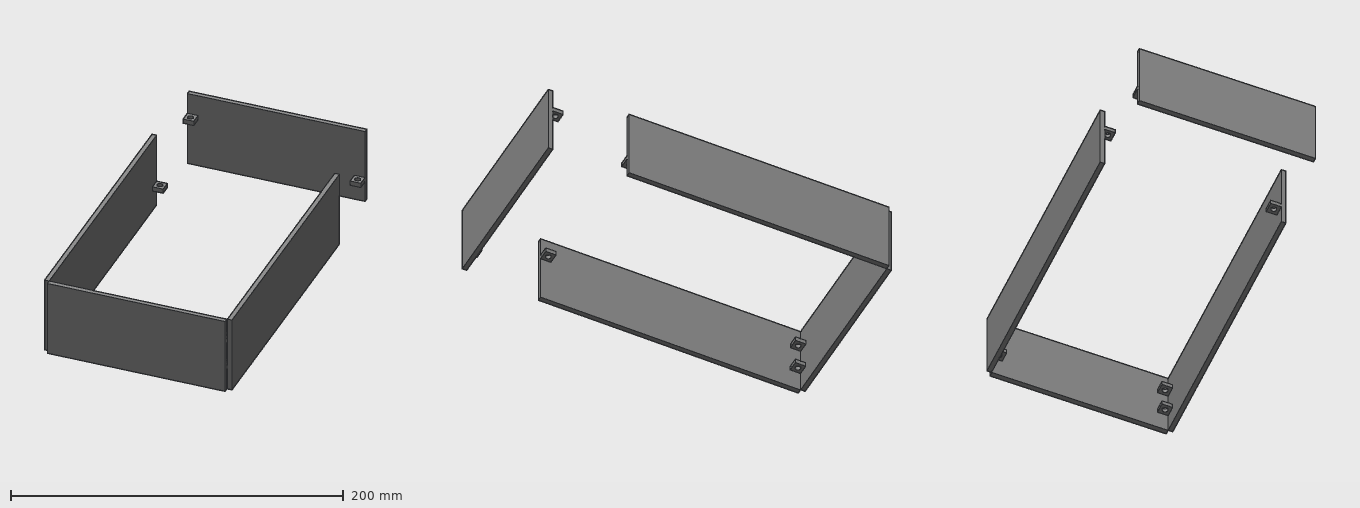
import cadquery as cq

total_length = 231.0
total_width = 121.3
panel_height = 50.0
thickness = 3.0
end_width = 115.0
side_length = 175.0
lug_size = 7.0
lug_thickness = 3.0
hole_diameter = 3.5

low_lug_z = 14.0
high_lug_z = panel_height - low_lug_z - lug_thickness

inner_width = total_width - 2 * thickness


def make_lug(x, y, z):
    """Square drilled lug with its lowest corner at (x, y, z)."""
    return (
        cq.Workplane("XY", origin=(x + lug_size / 2, y + lug_size / 2, z))
        .rect(lug_size, lug_size)
        .circle(hole_diameter / 2)
        .extrude(lug_thickness)
    )


def make_end_panel(panel_y, lug_y, left_lug_z, right_lug_z):
    """Panel across X whose two lugs are flush with its left and right edges."""
    panel = cq.Workplane("XY").box(end_width, thickness, panel_height, centered=False)
    panel = panel.translate((0, panel_y, 0))
    left_lug = make_lug(0, lug_y, left_lug_z)
    right_lug = make_lug(end_width - lug_size, lug_y, right_lug_z)
    return panel.union(left_lug).union(right_lug)


def make_side_panel(panel_x, lug_x, front_lug_z, rear_lug_z):
    """Panel along Y whose two lugs are flush with its front and rear edges."""
    panel = cq.Workplane("XY").box(thickness, side_length, panel_height, centered=False)
    panel = panel.translate((panel_x, thickness, 0))
    front_lug = make_lug(lug_x, thickness, front_lug_z)
    rear_lug = make_lug(lug_x, thickness + side_length - lug_size, rear_lug_z)
    return panel.union(front_lug).union(rear_lug)


front_panel = make_end_panel(0, thickness, low_lug_z, high_lug_z)
rear_y = total_length - thickness
rear_panel = make_end_panel(rear_y, rear_y - lug_size, high_lug_z, low_lug_z)

left_panel = make_side_panel(-thickness, 0, high_lug_z, low_lug_z)
right_panel = make_side_panel(inner_width, inner_width - lug_size, low_lug_z, high_lug_z)

result = cq.Compound.makeCompound(
    [front_panel.val(), rear_panel.val(), left_panel.val(), right_panel.val()]
)